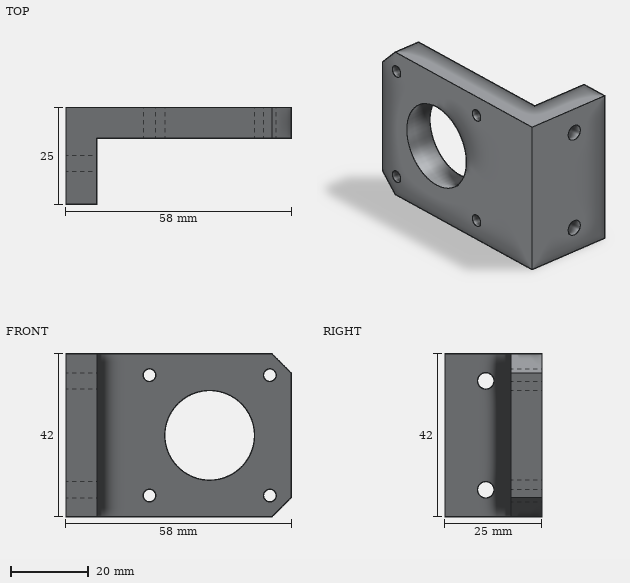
import cadquery as cq

length = 58.0
depth = 25.0
height = 42.0
wall = 8.0
corner_chamfer = 5.0

bore_diameter = 23.0
bore_to_free_end = 21.0
screw_diameter = 3.2
screw_spacing = 31.0

mount_diameter = 4.2
mount_spacing = 28.0
mount_from_back = 14.5

bore_x = length - bore_to_free_end
mid_z = height / 2
mount_y = depth - mount_from_back


def make_body():
    """L-shaped bracket: flange at X = 0, plate along the back face."""
    flange = cq.Workplane("XY").box(wall, depth, height, centered=False)
    plate = (
        cq.Workplane("XY")
        .box(length, wall, height, centered=False)
        .edges(">X and |Y")
        .chamfer(corner_chamfer)
        .translate((0, depth - wall, 0))
    )
    return flange.union(plate)


def make_plate_holes():
    """Cutters along Y for the motor opening and its four screws."""
    plane = cq.Workplane("XZ", origin=(bore_x, depth, mid_z))
    bore = plane.circle(bore_diameter / 2).extrude(wall)
    screws = (
        plane.rect(screw_spacing, screw_spacing, forConstruction=True)
        .vertices()
        .circle(screw_diameter / 2)
        .extrude(wall)
    )
    return bore.union(screws)


def make_mount_holes():
    """Cutters along X for the two flange holes."""
    return (
        cq.Workplane("YZ", origin=(0, mount_y, mid_z))
        .rarray(0.6, mount_spacing, 1, 2)
        .circle(mount_diameter / 2)
        .extrude(wall)
    )


result = make_body().cut(make_plate_holes()).cut(make_mount_holes())